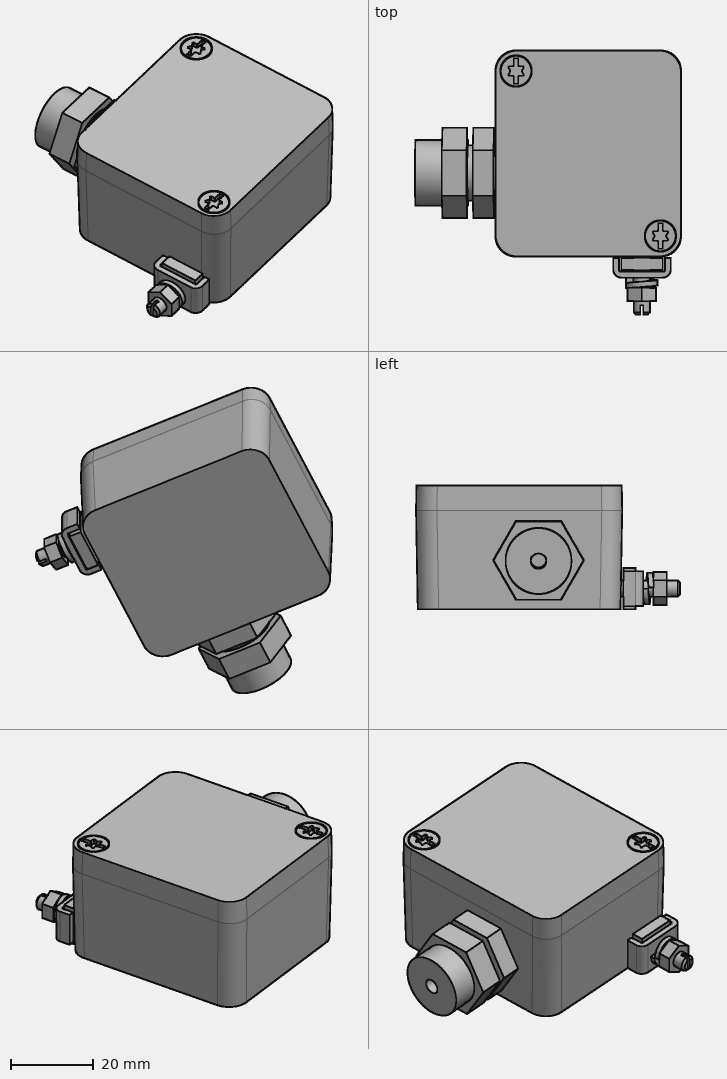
import cadquery as cq
import math

overall_length = 64.45
draft_angle = 1.0
hex_sides = 6

box_width = 45.0
box_depth = 49.95
box_height = 30.0
joint_height = 24.0
corner_radius = 5.0

screw_well_diameter = 7.7
screw_head_diameter = 7.35
screw_gap_depth = 0.25
recess_depth = 1.3
recess_slot_length = 6.1
recess_slot_width = 1.1
star_points = 6
star_valley_radius = 1.35
star_rim_radius = 2.05

gland_y = -4.7
gland_z = 12.0
gland_cap_diameter = 16.0
gland_hex_flats = 18.95
gland_neck_diameter = 13.5
gland_bore_diameter = 3.75
gland_flange_length = 0.5
gland_body_hex_length = 5.0
gland_neck_length = 1.3
gland_collar_length = 0.2
gland_cap_hex_length = 6.0

terminal_x = 13.0
stud_x = 12.95
terminal_reach = 14.0
plate_size = 10.05
bracket_width = 14.0
bracket_height = 8.45
bracket_thickness = 1.5
bracket_outer_radius = 2.0
bracket_inner_radius = 0.3
clamp_start = 0.25
plate_end = 3.2
bracket_end = 5.1
nut_start = 7.55
nut_end = 10.75
nut_flats = 6.95
stud_diameter = 4.0
stud_chamfer = 0.6
stud_slot_width = 0.65
stud_slot_depth = 2.2
stud_root = 3.2
washer_diameter = 7.7
washer_thickness = 1.3
washer_turn = 355.0
washer_bite = 0.1

draft = math.radians(draft_angle)
terminal_z = plate_size / 2
star_tip_radius = star_valley_radius * math.sqrt(3)
front_wall_y = -box_depth / 2
screw_x = box_width / 2 - corner_radius
screw_y = box_depth / 2 - corner_radius
gland_wall_x = -box_width / 2 + (joint_height - gland_z) * math.tan(draft)
gland_rim_lean = gland_cap_diameter / 2 * math.sin(draft)
gland_length = (overall_length - box_width / 2 + gland_wall_x - gland_rim_lean) / math.cos(draft)


def hexagon_diameter(across_flats):
    """Diameter across the corners."""
    return across_flats / math.cos(math.pi / hex_sides)


def drafted_block(height):
    """Block with rounded corners, standing on the joint and narrowing upward."""
    return (
        cq.Workplane("XY")
        .rect(box_width, box_depth)
        .extrude(height, taper=draft_angle)
        .edges("not #Z")
        .fillet(corner_radius)
    )


def housing():
    base = drafted_block(joint_height).mirror("XY")
    lid = drafted_block(box_height - joint_height)
    return base.union(lid, clean=False).translate((0, 0, joint_height))


def screw_cut():
    """Gap around a lid screw head plus its combined star and slot recess."""
    face = cq.Workplane("XY").workplane(offset=box_height)
    gap = (
        face.circle(screw_well_diameter / 2)
        .circle(screw_head_diameter / 2)
        .extrude(-screw_gap_depth)
    )
    slot = face.rect(recess_slot_width, recess_slot_length).extrude(-recess_depth)
    outline = []
    for corner in range(2 * star_points):
        radius = star_tip_radius if corner % 2 else star_valley_radius
        angle = corner * math.pi / star_points
        outline.append((radius * math.cos(angle), radius * math.sin(angle)))
    star = face.polyline(outline).close().extrude(-recess_depth)
    star = star.intersect(face.circle(star_rim_radius).extrude(-recess_depth))
    return gap.union(star.union(slot))


def gland():
    """Gland built outward along its axis, starting on the wall, with a bore down to the wall."""
    wall_plane = cq.Plane(
        origin=(gland_wall_x, gland_y, gland_z),
        xDir=(0, -1, 0),
        normal=(-math.cos(draft), 0, -math.sin(draft)),
    )

    def round_length(distance, diameter, length):
        plane = cq.Workplane(wall_plane).workplane(offset=distance)
        return plane.circle(diameter / 2).extrude(length)

    def hex_length(distance, length):
        plane = cq.Workplane(wall_plane).workplane(offset=distance)
        return plane.polygon(hex_sides, hexagon_diameter(gland_hex_flats)).extrude(length)

    neck_start = gland_flange_length + gland_body_hex_length
    collar_start = neck_start + gland_neck_length
    cap_hex_start = collar_start + gland_collar_length
    cap_start = cap_hex_start + gland_cap_hex_length

    flange = round_length(0, gland_cap_diameter, gland_flange_length)
    body_hex = hex_length(gland_flange_length, gland_body_hex_length)
    neck = round_length(neck_start, gland_neck_diameter, gland_neck_length)
    collar = round_length(collar_start, gland_cap_diameter, gland_collar_length)
    cap_hex = hex_length(cap_hex_start, gland_cap_hex_length)
    cap = round_length(cap_start, gland_cap_diameter, gland_length - cap_start)
    bore = round_length(0, gland_bore_diameter, gland_length)

    body = flange.union(body_hex).union(neck).union(collar).union(cap_hex).union(cap)
    return body.cut(bore)


def terminal_station(reach, centre_x):
    """Sketch plane facing -Y at the given reach, at the height of the stud."""
    origin = (centre_x, front_wall_y - reach, terminal_z)
    return cq.Workplane("XZ", origin=origin)


def bracket():
    """U-shaped bracket, open toward the housing."""
    depth = bracket_end - clamp_start
    outer = (
        terminal_station(clamp_start, terminal_x)
        .rect(bracket_width, bracket_height)
        .extrude(depth)
        .edges("|Z and <Y")
        .fillet(bracket_outer_radius)
    )
    channel = (
        terminal_station(clamp_start, terminal_x)
        .rect(bracket_width - 2 * bracket_thickness, bracket_height)
        .extrude(depth - bracket_thickness)
        .edges("|Z and <Y")
        .fillet(bracket_inner_radius)
    )
    return outer.cut(channel)


def stud():
    rod = (
        terminal_station(-stud_root, stud_x)
        .circle(stud_diameter / 2)
        .extrude(stud_root + terminal_reach)
        .faces("<Y")
        .chamfer(stud_chamfer)
    )
    slot = (
        terminal_station(terminal_reach, stud_x)
        .rect(stud_slot_width, stud_diameter)
        .extrude(-stud_slot_depth)
    )
    return rod.cut(slot)


def spring_washer():
    """Single split coil filling the space between bracket and nut."""
    inner_radius = stud_diameter / 2 - washer_bite
    outer_radius = washer_diameter / 2
    mean_radius = (inner_radius + outer_radius) / 2
    rise = nut_start - bracket_end - washer_thickness + 2 * washer_bite
    coil_height = rise * washer_turn / 360
    path = cq.Wire.makeHelix(rise, coil_height, mean_radius)
    coil = (
        cq.Workplane("XZ")
        .center(mean_radius, 0)
        .rect(outer_radius - inner_radius, washer_thickness)
        .sweep(cq.Workplane(path), isFrenet=True)
    )
    start_reach = bracket_end - washer_bite + washer_thickness / 2
    return (
        coil.rotate((0, 0, 0), (0, 0, 1), 180)
        .rotate((0, 0, 0), (1, 0, 0), 90)
        .translate((stud_x, front_wall_y - start_reach, terminal_z))
    )


def terminal():
    plate = (
        terminal_station(clamp_start, terminal_x)
        .rect(plate_size, plate_size)
        .extrude(plate_end - clamp_start)
    )
    nut = (
        terminal_station(nut_start, stud_x)
        .transformed(rotate=(0, 0, 90))
        .polygon(hex_sides, hexagon_diameter(nut_flats))
        .extrude(nut_end - nut_start)
    )
    return stud().union(plate).union(bracket()).union(spring_washer()).union(nut)


box = housing()
for side in (1, -1):
    box = box.cut(screw_cut().translate((side * screw_x, -side * screw_y, 0)))

result = box.union(gland()).union(terminal())